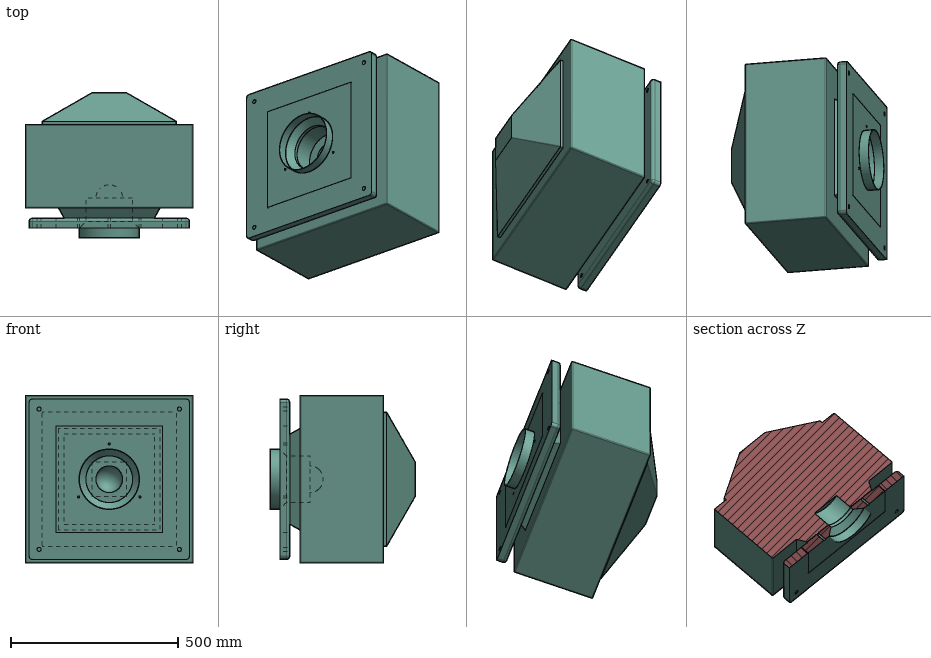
import cadquery as cq

BOX_SIDE = 502.0
BOX_DEPTH = 251.0
BOX_EDGE_RADIUS = 3.0

COVER_SIDE = 480.0
COVER_THICKNESS = 30.0
COVER_EDGE_RADIUS = 10.0
COVER_HOLE_DIAMETER = 12.0
COVER_HOLE_SPACING = 420.0

PANEL_SIDE = 320.0
PANEL_HOLE_DIAMETER = 6.0
PANEL_HOLE_CIRCLE_RADIUS = 106.0
PANEL_HOLE_COUNT = 3

SPIGOT_LENGTH = 29.0
SPIGOT_OUTER_DIAMETER = 181.0
SPIGOT_WALL = 1.0

DUCT_DIAMETER = 140.0
DUCT_DEPTH = 60.0
DOME_RADIUS = 40.0

NECK_COVER_SIDE = 270.0
NECK_BOX_SIDE = 304.0
NECK_LENGTH = 30.0

HOOD_BASE_SIDE = 402.0
HOOD_BASE_DEPTH = 9.0
HOOD_TIP_SIDE = 102.0
HOOD_TAPER_DEPTH = 86.0

TAPER_BASE_RADIUS = 2.0
TAPER_TIP_RADIUS = 0.2

NECK_START = COVER_THICKNESS
BOX_FRONT = NECK_START + NECK_LENGTH
BOX_BACK = BOX_FRONT + BOX_DEPTH
HOOD_TAPER_START = BOX_BACK + HOOD_BASE_DEPTH

SPIGOT_BORE_RADIUS = SPIGOT_OUTER_DIAMETER / 2 - SPIGOT_WALL
DUCT_RADIUS = DUCT_DIAMETER / 2
CONE_END = SPIGOT_BORE_RADIUS - DUCT_RADIUS


def plane_at(y):
    """Workplane across the Y axis at the given y, with its normal along +Y."""
    return cq.Workplane(cq.Plane(origin=(0, y, 0), xDir=(-1, 0, 0), normal=(0, 1, 0)))


def square_block(side, start, length):
    """Square block from y = start to y = start + length."""
    return plane_at(start).rect(side, side).extrude(length)


def rounded_square(side, radius):
    """Flat square with rounded corners."""
    return cq.Sketch().rect(side, side).vertices().fillet(radius)


def square_taper(start_side, start_radius, end_side, end_radius, start, length):
    """Frustum with rounded corners from y = start to y = start + length."""
    start_outline = rounded_square(start_side, start_radius)
    end_outline = rounded_square(end_side, end_radius).moved(cq.Location(cq.Vector(0, 0, length)))
    return plane_at(start).placeSketch(start_outline, end_outline).loft(ruled=True)


def cylinder(diameter, start, length):
    """Round bar on the Y axis from y = start to y = start + length."""
    return plane_at(start).circle(diameter / 2).extrude(length)


def build_housing():
    box = square_block(BOX_SIDE, BOX_FRONT, BOX_DEPTH).edges().fillet(BOX_EDGE_RADIUS)
    neck = square_taper(
        NECK_COVER_SIDE, TAPER_TIP_RADIUS, NECK_BOX_SIDE, TAPER_BASE_RADIUS, NECK_START, NECK_LENGTH
    )
    hood_base = square_block(HOOD_BASE_SIDE, BOX_BACK, HOOD_BASE_DEPTH)
    hood_base = hood_base.edges("|Y").fillet(TAPER_BASE_RADIUS)
    hood = square_taper(
        HOOD_BASE_SIDE, TAPER_BASE_RADIUS, HOOD_TIP_SIDE, TAPER_TIP_RADIUS, HOOD_TAPER_START, HOOD_TAPER_DEPTH
    )
    duct = cylinder(DUCT_DIAMETER, NECK_START, DUCT_DEPTH)
    dome = cq.Workplane("XY").sphere(DOME_RADIUS).translate((0, NECK_START + DUCT_DEPTH, 0))
    return box.union(neck).union(hood_base).union(hood).cut(duct).cut(dome)


def build_cover():
    plate = square_block(COVER_SIDE, 0, COVER_THICKNESS)
    plate = plate.edges("|Y").fillet(COVER_EDGE_RADIUS)
    plate = plate.faces(">Y").edges().fillet(COVER_EDGE_RADIUS)
    opening = square_block(PANEL_SIDE, 0, COVER_THICKNESS)
    holes = (
        plane_at(0)
        .rect(COVER_HOLE_SPACING, COVER_HOLE_SPACING, forConstruction=True)
        .vertices()
        .circle(COVER_HOLE_DIAMETER / 2)
        .extrude(COVER_THICKNESS)
    )
    return plate.cut(opening).cut(holes)


def build_panel():
    panel = square_block(PANEL_SIDE, 0, COVER_THICKNESS)
    spigot = cylinder(SPIGOT_OUTER_DIAMETER, -SPIGOT_LENGTH, SPIGOT_LENGTH)
    bore = (
        cq.Workplane("XY")
        .moveTo(0, -SPIGOT_LENGTH)
        .lineTo(SPIGOT_BORE_RADIUS, -SPIGOT_LENGTH)
        .lineTo(SPIGOT_BORE_RADIUS, 0)
        .lineTo(DUCT_RADIUS, CONE_END)
        .lineTo(DUCT_RADIUS, COVER_THICKNESS)
        .lineTo(0, COVER_THICKNESS)
        .close()
        .revolve(360, (0, 0, 0), (0, 1, 0))
    )
    holes = (
        plane_at(0)
        .polarArray(PANEL_HOLE_CIRCLE_RADIUS, 90, 360, PANEL_HOLE_COUNT)
        .circle(PANEL_HOLE_DIAMETER / 2)
        .extrude(COVER_THICKNESS)
    )
    return panel.union(spigot).cut(bore).cut(holes)


housing = build_housing()
cover = build_cover()
panel = build_panel()

result = cq.Compound.makeCompound([housing.val(), cover.val(), panel.val()])